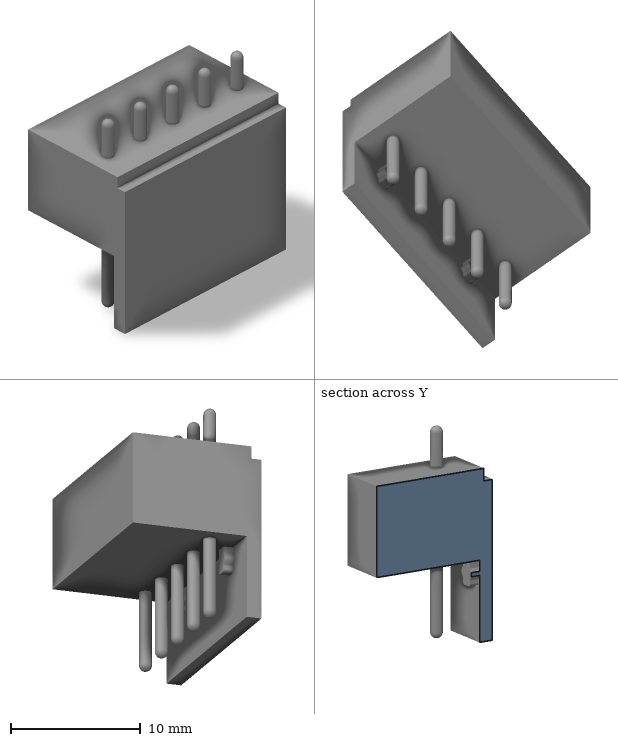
import cadquery as cq

LENGTH = 17.5
WIDTH = 10.6
BLOCK_WIDTH = 9.8
PLATE_INNER_X = 9.4
BLOCK_BOTTOM = 6.56
STEP_Z = 12.9
BLOCK_TOP = 13.9

PIN_COUNT = 5
PIN_PITCH = 3.5
PIN_DIAMETER = 1.0
PIN_RADIUS = PIN_DIAMETER / 2
PIN_X = 7.0
PIN_BOTTOM = 0.15
PIN_TOP = 17.15

KEY_OFFSET = 1.5 * PIN_PITCH
KEY_DEPTH = 0.77
KEY_HALF_WIDTH = 0.5
KEY_HEIGHT = 2.03
KEY_CORNER_RADIUS = 0.23
BULGE_DROP = 1.03
BULGE_HALF_HEIGHT = 0.47
BULGE_TIP_HALF_WIDTH = 0.7
BULGE_ARC_HALF_WIDTH = 0.63
BULGE_ARC_HALF_HEIGHT = 0.25


def make_housing():
    """Stepped side profile extruded along Y, centred on Y = 0."""
    return (
        cq.Workplane("XZ")
        .moveTo(0, BLOCK_BOTTOM)
        .lineTo(PLATE_INNER_X, BLOCK_BOTTOM)
        .lineTo(PLATE_INNER_X, 0)
        .lineTo(WIDTH, 0)
        .lineTo(WIDTH, STEP_Z)
        .lineTo(BLOCK_WIDTH, STEP_Z)
        .lineTo(BLOCK_WIDTH, BLOCK_TOP)
        .lineTo(0, BLOCK_TOP)
        .close()
        .extrude(LENGTH / 2, both=True)
    )


def make_pin(y):
    """Vertical pin with hemispherical ends."""
    lower_centre = PIN_BOTTOM + PIN_RADIUS
    upper_centre = PIN_TOP - PIN_RADIUS
    shaft = (
        cq.Workplane("XY", origin=(PIN_X, y, lower_centre))
        .circle(PIN_RADIUS)
        .extrude(upper_centre - lower_centre)
    )
    lower_end = cq.Workplane("XY", origin=(PIN_X, y, lower_centre)).sphere(PIN_RADIUS)
    upper_end = cq.Workplane("XY", origin=(PIN_X, y, upper_centre)).sphere(PIN_RADIUS)
    return shaft.union(lower_end).union(upper_end)


def make_key(y):
    """Key running up into the block, with rounded lower corners and a rounded bulge on each side."""
    stem = (
        cq.Workplane("YZ", origin=(PLATE_INNER_X, y, BLOCK_BOTTOM))
        .rect(2 * KEY_HALF_WIDTH, 2 * KEY_HEIGHT)
        .extrude(-KEY_DEPTH)
        .edges("|X and <Z")
        .fillet(KEY_CORNER_RADIUS)
    )
    bulge = (
        cq.Workplane("YZ", origin=(PLATE_INNER_X, y, BLOCK_BOTTOM - BULGE_DROP))
        .moveTo(KEY_HALF_WIDTH, -BULGE_HALF_HEIGHT)
        .lineTo(BULGE_ARC_HALF_WIDTH, -BULGE_ARC_HALF_HEIGHT)
        .threePointArc(
            (BULGE_TIP_HALF_WIDTH, 0),
            (BULGE_ARC_HALF_WIDTH, BULGE_ARC_HALF_HEIGHT),
        )
        .lineTo(KEY_HALF_WIDTH, BULGE_HALF_HEIGHT)
        .lineTo(-KEY_HALF_WIDTH, BULGE_HALF_HEIGHT)
        .lineTo(-BULGE_ARC_HALF_WIDTH, BULGE_ARC_HALF_HEIGHT)
        .threePointArc(
            (-BULGE_TIP_HALF_WIDTH, 0),
            (-BULGE_ARC_HALF_WIDTH, -BULGE_ARC_HALF_HEIGHT),
        )
        .lineTo(-KEY_HALF_WIDTH, -BULGE_HALF_HEIGHT)
        .close()
        .extrude(-KEY_DEPTH)
    )
    return stem.union(bulge)


result = make_housing()

for index in range(PIN_COUNT):
    pin_y = (index - (PIN_COUNT - 1) / 2) * PIN_PITCH
    result = result.union(make_pin(pin_y))

for key_y in (-KEY_OFFSET, KEY_OFFSET):
    result = result.union(make_key(key_y))